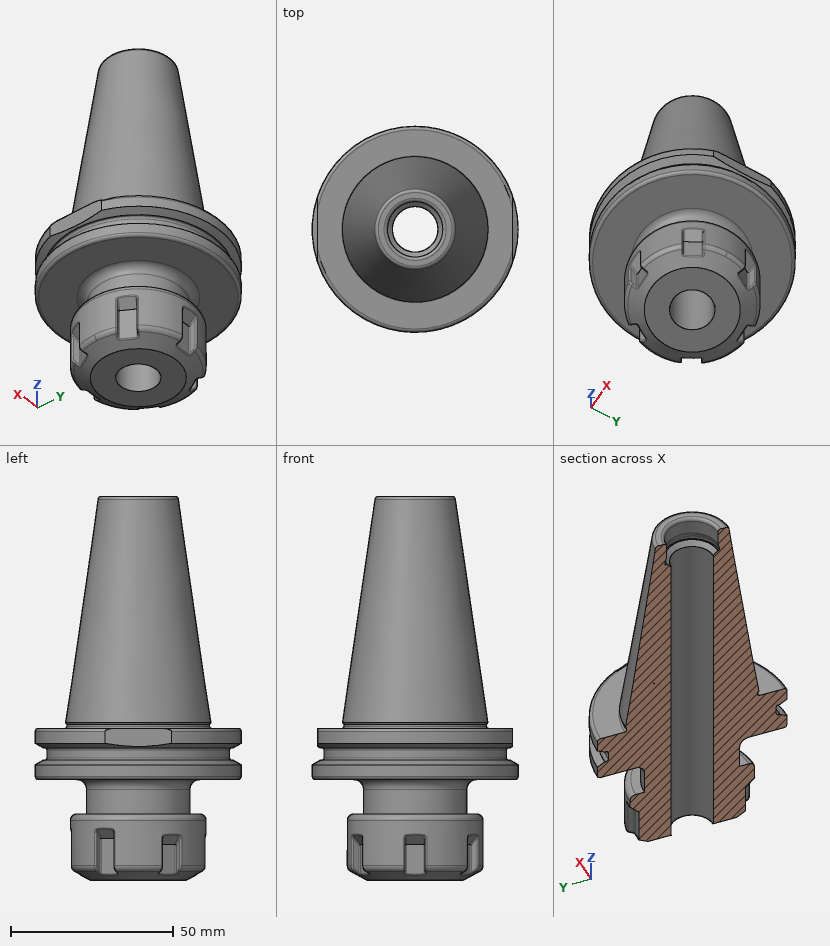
import cadquery as cq
import math

position_tolerance = 0.01

total_height = 118.4
gauge_height = 50.0
flange_top = 46.9
flange_bottom = 31.0
nut_height = 20.5

gauge_radius = 22.3
taper_slope = 7 / 48
taper_end_gap = 1.8
tip_radius = gauge_radius - taper_slope * (total_height - gauge_height)
tip_fillet = 1.1
relief_radius = 22.0
relief_gap = 1.2
relief_fillet = 0.6

flange_diameter = 63.6
flange_radius = flange_diameter / 2
flange_fillet = 1.1
groove_height = 39.0
groove_half_width = 3.3
groove_floor_radius = 28.2
groove_ledge_half_width = 1.9
groove_fillet = 0.7
groove_wall_angle = 30
groove_wall_slope = math.tan(math.radians(groove_wall_angle))
ledge_radius = flange_radius - (groove_half_width - groove_ledge_half_width) / groove_wall_slope
flat_distance = 30.1

neck_radius = 16.0
neck_fillet = 3.0

nut_radius = 21.0
nut_fillet = 2.0
nose_radius = 14.8
nose_cone_height = 3.3

slot_count = 6
first_slot_angle = 30
slot_width = 6.2
slot_floor_radius = 17.9
front_slot_top = 14.1
rear_slot_top = 16.0
slot_corner_fillet = 0.4
slot_rim_fillet = 0.5

through_radius = 7.0
pilot_radius = 8.5
pilot_fillet = 1.1
cone_top = 110.0
undercut_radius = 9.0
undercut_height = 1.0
undercut_cone_top = 112.6


def fillet_circle(body, radius, height, fillet):
    """Fillet the circular edge of the given radius at the given height."""
    reach = radius + position_tolerance
    low = (-reach, -reach, height - position_tolerance)
    high = (reach, reach, height + position_tolerance)
    edges = body.edges(cq.selectors.BoxSelector(low, high, boundingbox=True))
    return edges.edges(cq.selectors.RadiusNthSelector(-1)).fillet(fillet)


def make_body():
    """Solid of revolution with all outer steps, still without bore and slots."""
    taper_end = flange_top + taper_end_gap
    taper_end_radius = gauge_radius + taper_slope * (gauge_height - taper_end)
    outline = [
        (0, 0),
        (nose_radius, 0),
        (nut_radius, nose_cone_height),
        (nut_radius, nut_height),
        (neck_radius, nut_height),
        (neck_radius, flange_bottom),
        (flange_radius, flange_bottom),
        (flange_radius, groove_height - groove_half_width),
        (ledge_radius, groove_height - groove_ledge_half_width),
        (groove_floor_radius, groove_height - groove_ledge_half_width),
        (groove_floor_radius, groove_height + groove_ledge_half_width),
        (ledge_radius, groove_height + groove_ledge_half_width),
        (flange_radius, groove_height + groove_half_width),
        (flange_radius, flange_top),
        (relief_radius, flange_top),
        (relief_radius, flange_top + relief_gap),
        (taper_end_radius, taper_end),
        (tip_radius, total_height),
        (0, total_height),
    ]
    body = cq.Workplane("XZ").polyline(outline).close().revolve(360, (0, 0), (0, 1))
    rounded_circles = [
        (nut_radius, nose_cone_height, nut_fillet),
        (nut_radius, nut_height, nut_fillet),
        (neck_radius, flange_bottom, neck_fillet),
        (flange_radius, flange_bottom, flange_fillet),
        (groove_floor_radius, groove_height - groove_ledge_half_width, groove_fillet),
        (groove_floor_radius, groove_height + groove_ledge_half_width, groove_fillet),
        (flange_radius, flange_top, flange_fillet),
        (relief_radius, flange_top, relief_fillet),
        (tip_radius, total_height, tip_fillet),
    ]
    for radius, height, fillet in rounded_circles:
        body = fillet_circle(body, radius, height, fillet)
    return body


def cut_flats(body):
    """Flatten the upper flange rim on both X sides."""
    depth = flange_radius - flat_distance
    height = flange_top - groove_height
    for side in (-1, 1):
        flat = cq.Workplane("XY").box(depth, 2 * flange_radius, height, centered=(True, True, False))
        body = body.cut(flat.translate((side * (flat_distance + depth / 2), 0, groove_height)))
    return body


def make_slot(top):
    """Slot cutter along +X: flat floor, open below, ceiling rising outward at 45 degrees."""
    outer_radius = nut_radius + slot_width
    profile = [
        (slot_floor_radius, 0),
        (outer_radius, 0),
        (outer_radius, top + outer_radius - nut_radius),
        (slot_floor_radius, top + slot_floor_radius - nut_radius),
    ]
    slot = cq.Workplane("XZ").polyline(profile).close().extrude(slot_width / 2, both=True)
    return slot.edges("(<X and |Z) or |(1,0,1)").fillet(slot_corner_fillet)


def is_slot_rim(edge):
    """True for an upright edge on the nut's outer surface, shorter than that surface."""
    center = edge.Center()
    on_nut = abs(math.hypot(center.x, center.y) - nut_radius) < position_tolerance
    return on_nut and edge.Length() < rear_slot_top - nose_cone_height


def cut_slots(body):
    """Cut the wrench slots, the rear ones reaching higher, and round their upright rims."""
    for index in range(slot_count):
        angle = first_slot_angle + index * 360 / slot_count
        is_rear = math.sin(math.radians(angle)) > 0
        top = rear_slot_top if is_rear else front_slot_top
        body = body.cut(make_slot(top).rotate((0, 0, 0), (0, 0, 1), angle))
    return body.edges("|Z").filter(is_slot_rim).fillet(slot_rim_fillet)


def make_bore():
    """Through hole widening by a 45 degree cone to the undercut ring and the pilot bore."""
    outline = [
        (0, 0),
        (through_radius, 0),
        (through_radius, cone_top - (pilot_radius - through_radius)),
        (pilot_radius, cone_top),
        (undercut_radius, cone_top),
        (undercut_radius, cone_top + undercut_height),
        (pilot_radius, undercut_cone_top),
        (pilot_radius, total_height),
        (0, total_height),
    ]
    return cq.Workplane("XZ").polyline(outline).close().revolve(360, (0, 0), (0, 1))


body = cut_slots(cut_flats(make_body())).cut(make_bore())
pilot_rim = cq.selectors.RadiusNthSelector(0)
result = body.faces(">Z").edges(pilot_rim).fillet(pilot_fillet)